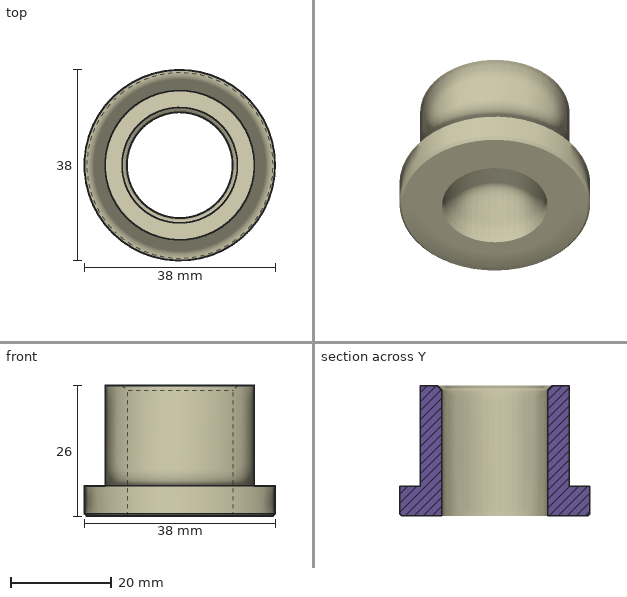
import cadquery as cq

flange_diameter = 38
total_height = 26.0
flange_thickness = 6.0
barrel_diameter = 29.7
bore_diameter = 21.0
bore_chamfer = 1.0
flange_edge_chamfer = 0.5


def flange():
    """Round flange on the base plane, chamfered around its lower outer edge."""
    disc = cq.Workplane("XY").circle(flange_diameter / 2).extrude(flange_thickness)
    return disc.faces("<Z").edges().chamfer(flange_edge_chamfer)


def barrel():
    """Plain cylinder running the full height of the bushing."""
    return cq.Workplane("XY").circle(barrel_diameter / 2).extrude(total_height)


def bore():
    """Through bore, flared by a lead-in chamfer at the top rim."""
    hole = cq.Workplane("XY").circle(bore_diameter / 2).extrude(total_height)
    lead_in = (
        cq.Workplane("XY", origin=(0, 0, total_height - bore_chamfer))
        .circle(bore_diameter / 2)
        .workplane(offset=bore_chamfer)
        .circle(bore_diameter / 2 + bore_chamfer)
        .loft(ruled=True)
    )
    return hole.union(lead_in)


result = flange().union(barrel()).cut(bore())